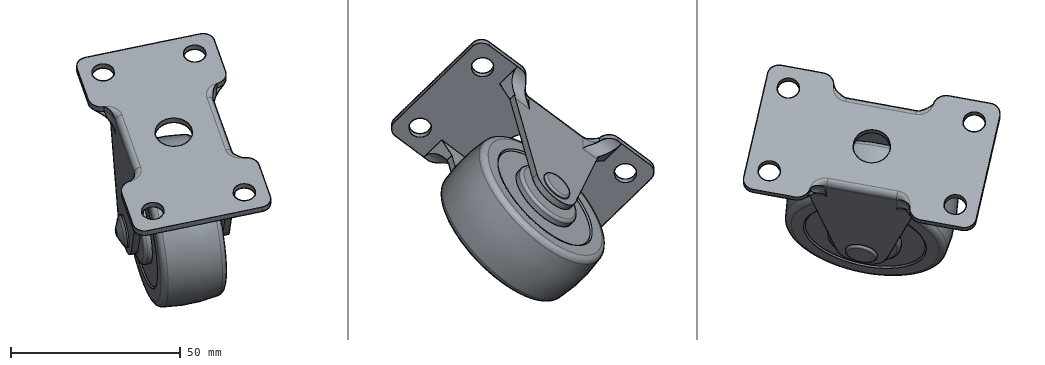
import cadquery as cq
import math


sheet = 2.0
leg_gap = 26.0
leg_inner_y = leg_gap / 2
leg_outer_y = leg_inner_y + sheet

plate_length = 70.0
plate_width = 42.0
plate_corner_radius = 3.5
mount_hole_diameter = 6.6
mount_hole_pitch_x = 56.0
mount_hole_pitch_y = 28.0
center_hole_diameter = 11.0

bend_half_length = 10.5
notch_half_width = 15.0
notch_mouth_radius = 4.0

leg_end_radius = 7.8
leg_end_depth = 46.9
leg_taper = math.radians(14.4)

flare_depth = 8.0
flare_radius = flare_depth - sheet
flare_edge_depth = 6.45
flare_reach_x = 20.45

axle_depth = 40.0
axle_diameter = 6.5
rear_head_diameter = 9.65
rear_head_height = 1.0
rear_head_fillet = 0.7
front_head_diameter = 10.0
front_head_height = 2.6
front_rim_height = 0.5
front_cone_diameter = 7.85
front_cone_height = 1.25
dimple_diameter = 2.1
dimple_depth = 0.55

wheel_diameter = 50.05
wheel_width = 20.0
tread_crown_radius = 50.0
tread_fillet = 2.0
hub_diameter = 22.0
hub_width = 24.0
hub_fillet = 1.0
recess_diameter = 37.0
recess_floor_diameter = 36.1
recess_depth = 0.5

mouth_x = notch_half_width + notch_mouth_radius
mouth_y = plate_width / 2 - notch_mouth_radius
mouth_dx = mouth_x - bend_half_length
mouth_dy = mouth_y - leg_inner_y
root_radius = (mouth_dx**2 + mouth_dy**2 - notch_mouth_radius**2) / (2 * (notch_mouth_radius + mouth_dy))
root_y = leg_inner_y + root_radius
mouth_share = notch_mouth_radius / (notch_mouth_radius + root_radius)
meet_x = mouth_x - mouth_share * mouth_dx
meet_y = mouth_y + mouth_share * (root_y - mouth_y)

meet_dx = meet_x - bend_half_length
meet_dy = meet_y - leg_outer_y
shallow_radius = (meet_dx**2 + meet_dy**2) / (2 * meet_dy)


def mirror_x(body):
    """The body together with its mirror image in X."""
    return body.union(body.mirror("YZ"))


def mirror_y(body):
    """The body together with its mirror image in Y."""
    return body.union(body.mirror("XZ"))


def leg_half_width(depth):
    """Half width of the tapered leg at a depth below the plate top."""
    rise = leg_end_depth - leg_end_radius - depth
    return (leg_end_radius + rise * math.sin(leg_taper)) / math.cos(leg_taper)


def blank_plate():
    """Mounting plate with its holes, before the notches."""
    plate = (
        cq.Workplane("XY")
        .rect(plate_length, plate_width)
        .extrude(-sheet)
        .edges("|Z")
        .fillet(plate_corner_radius)
    )
    mount_holes = (
        cq.Workplane("XY")
        .rect(mount_hole_pitch_x, mount_hole_pitch_y, forConstruction=True)
        .vertices()
        .circle(mount_hole_diameter / 2)
        .extrude(-sheet)
    )
    center_hole = cq.Workplane("XY").circle(center_hole_diameter / 2).extrude(-sheet)
    return plate.cut(mount_holes).cut(center_hole)


def notch_corner(z):
    """Closed outline of the notch's +X, +Y corner, on a plane at height z."""
    mouth_bulge = notch_mouth_radius * math.sqrt(0.5)
    return (
        cq.Workplane("XY", origin=(0, 0, z))
        .moveTo(bend_half_length, leg_outer_y)
        .radiusArc((meet_x, meet_y), -shallow_radius)
        .threePointArc((mouth_x - mouth_bulge, mouth_y + mouth_bulge), (mouth_x, plate_width / 2))
        .lineTo(bend_half_length, plate_width / 2)
        .close()
    )


def notch():
    """Cutter for the notch at the +Y side."""
    corner = notch_corner(0).extrude(-sheet)
    middle_width = plate_width / 2 - leg_outer_y
    middle = cq.Workplane("XY").box(2 * bend_half_length, middle_width, sheet, centered=(True, False, False))
    return mirror_x(corner).union(middle.translate((0, leg_outer_y, -sheet)))


def bend_section():
    """What is missing outside the quarter-round top of the +Y bend, at the +X end of its straight part."""
    bulge = sheet * math.sqrt(0.5)
    return (
        cq.Workplane("YZ", origin=(bend_half_length, 0, 0))
        .moveTo(leg_inner_y, 0)
        .threePointArc((leg_inner_y + bulge, bulge - sheet), (leg_outer_y, -sheet))
        .lineTo(leg_outer_y, 0)
        .close()
    )


def bend_rounding():
    """Cutter that rounds the top of the +Y bend along its straight part and round both notch corners."""
    straight = bend_section().extrude(-2 * bend_half_length)
    corner = bend_section().revolve(90, (root_y, 0, 0), (root_y, 1, 0))
    return straight.union(mirror_x(corner))


def leg():
    """Tapered leg at the +Y side, with a round lower end and the axle hole."""
    tangent_depth = leg_end_depth - leg_end_radius * (1 - math.sin(leg_taper))
    tangent_x = leg_end_radius * math.cos(leg_taper)
    blade = (
        cq.Workplane("XZ", origin=(0, leg_inner_y, 0))
        .moveTo(-leg_half_width(sheet), -sheet)
        .lineTo(-tangent_x, -tangent_depth)
        .threePointArc((0, -leg_end_depth), (tangent_x, -tangent_depth))
        .lineTo(leg_half_width(sheet), -sheet)
        .close()
        .extrude(-sheet)
    )
    axle_hole = (
        cq.Workplane("XZ", origin=(0, leg_inner_y, -axle_depth))
        .circle(axle_diameter / 2)
        .extrude(-sheet)
    )
    return blade.cut(axle_hole)


def flare_hollow():
    """Cone from the notch's +X, +Y corner down to a point on the leg's outer face."""
    base = cq.Face.makeFromWires(notch_corner(-sheet).wires().val())
    apex = cq.Vertex.makeVertex(bend_half_length, leg_outer_y, -flare_depth)
    return cq.Workplane(obj=cq.occ_impl.shapes.loft(base, apex, ruled=True))


def flare():
    """Flare at the +X edge of the +Y leg, curving out under the plate and hollowed below the notch."""
    across_x = (
        cq.Workplane("XZ", origin=(0, leg_inner_y, 0))
        .moveTo(bend_half_length, -sheet)
        .lineTo(bend_half_length, -flare_depth)
        .lineTo(leg_half_width(flare_depth), -flare_depth)
        .lineTo(leg_half_width(flare_edge_depth), -flare_edge_depth)
        .lineTo(flare_reach_x, -sheet)
        .close()
        .extrude(-plate_width / 2)
    )
    across_y = (
        cq.Workplane("YZ")
        .moveTo(leg_inner_y, -sheet)
        .lineTo(leg_inner_y, -flare_depth)
        .lineTo(leg_outer_y, -flare_depth)
        .radiusArc((leg_outer_y + flare_radius, -sheet), flare_radius)
        .close()
        .extrude(plate_length / 2)
    )
    return across_x.intersect(across_y).cut(flare_hollow())


def make_bracket():
    """Bent sheet bracket: notched plate, two legs and four flares."""
    plate = blank_plate().cut(mirror_y(notch().union(bend_rounding())))
    flared_leg = leg().union(mirror_x(flare()))
    return plate.union(mirror_y(flared_leg))


def make_wheel():
    """Crowned wheel with a shallow recess and a raised hub on each face, bored for the axle."""
    half_width = wheel_width / 2
    crown_drop = tread_crown_radius - math.sqrt(tread_crown_radius**2 - half_width**2)
    edge_radius = wheel_diameter / 2 - crown_drop
    tread = (
        cq.Workplane("XY")
        .moveTo(0, -half_width)
        .lineTo(edge_radius, -half_width)
        .threePointArc((wheel_diameter / 2, 0), (edge_radius, half_width))
        .lineTo(0, half_width)
        .close()
        .revolve(360, (0, 0, 0), (0, 1, 0))
        .faces("<Y or >Y")
        .edges()
        .fillet(tread_fillet)
    )
    recess = (
        cq.Workplane("XY")
        .moveTo(0, half_width)
        .lineTo(recess_diameter / 2, half_width)
        .lineTo(recess_floor_diameter / 2, half_width - recess_depth)
        .lineTo(0, half_width - recess_depth)
        .close()
        .revolve(360, (0, 0, 0), (0, 1, 0))
    )
    hub = (
        cq.Workplane("XZ")
        .circle(hub_diameter / 2)
        .extrude(hub_width / 2, both=True)
        .faces("<Y or >Y")
        .edges()
        .fillet(hub_fillet)
    )
    bore = cq.Workplane("XZ").circle(axle_diameter / 2).extrude(hub_width / 2, both=True)
    wheel = tread.cut(recess).cut(recess.mirror("XZ")).union(hub).cut(bore)
    return wheel.translate((0, 0, -axle_depth))


def make_axle():
    """Rivet axle: flat head at the +Y end, conical head with a round dimple at the -Y end."""
    shank = cq.Workplane("XZ").circle(axle_diameter / 2).extrude(leg_outer_y, both=True)
    rear_head = (
        cq.Workplane("XZ", origin=(0, leg_outer_y, 0))
        .circle(rear_head_diameter / 2)
        .extrude(-rear_head_height)
        .faces(">Y")
        .edges()
        .fillet(rear_head_fillet)
    )
    rim_radius = front_head_diameter / 2
    cone_radius = front_cone_diameter / 2
    dimple_radius = dimple_diameter / 2
    dimple_sphere = (dimple_radius**2 + dimple_depth**2) / (2 * dimple_depth)
    dimple_mid_radius = dimple_radius / 2
    dimple_mid_depth = dimple_depth - dimple_sphere + math.sqrt(dimple_sphere**2 - dimple_mid_radius**2)
    front_head = (
        cq.Workplane("XY", origin=(0, -leg_outer_y, 0))
        .lineTo(0, dimple_depth - front_head_height)
        .threePointArc(
            (dimple_mid_radius, dimple_mid_depth - front_head_height),
            (dimple_radius, -front_head_height),
        )
        .lineTo(cone_radius, -front_cone_height)
        .tangentArcPoint((rim_radius, -front_rim_height), relative=False)
        .lineTo(rim_radius, 0)
        .close()
        .revolve(360, (0, 0, 0), (0, 1, 0))
    )
    axle = shank.union(rear_head).union(front_head)
    return axle.translate((0, 0, -axle_depth))


bracket = make_bracket()
wheel = make_wheel()
axle = make_axle()

result = cq.Compound.makeCompound([bracket.solids().val(), wheel.solids().val(), axle.solids().val()])